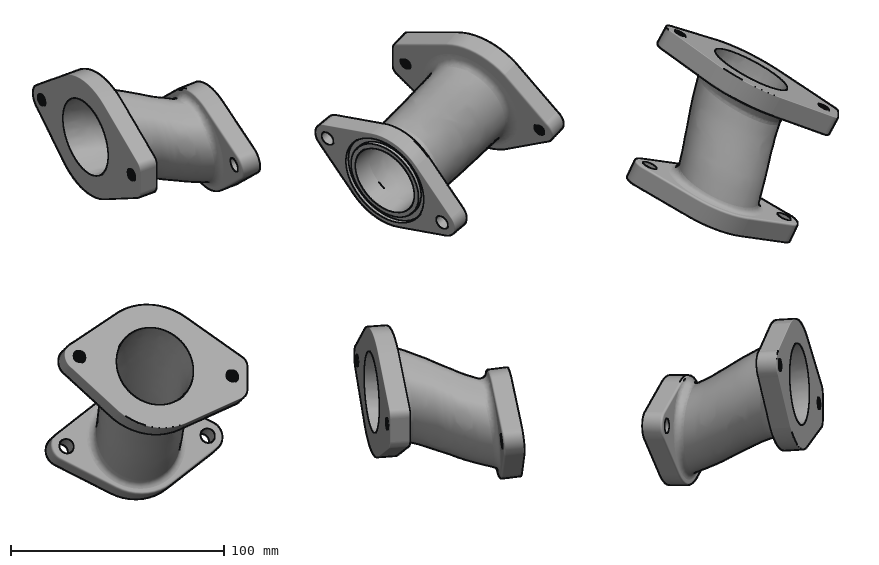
import cadquery as cq
import math

INLET_THICKNESS = 10.0
INLET_LENGTH = 91.4
INLET_BODY_RADIUS = 30.9
INLET_BORE_X = -0.6
INLET_BORE_DIAMETER = 38.5
INLET_HOLE_SPACING = 76.2
LUG_ARC_HALF_ANGLE = 60.0
LEFT_BODY_ANGLE = 35.0
RIGHT_BODY_ANGLE = 30.2
SQUARE_END_CORNER_RADIUS = 4.9

THREAD_MINOR_DIAMETER = 5.0
THREAD_MAJOR_DIAMETER = 6.1
THREAD_PITCH = 1.0
THREAD_ROOT_FLAT = 0.15
THREAD_MOUTH_WIDTH = 0.9
THREAD_OVERLAP = 0.1
THREAD_START_ANGLE = 175.0

OUTLET_THICKNESS = 10.0
OUTLET_BODY_RADIUS = 25.9
OUTLET_BORE_DIAMETER = 35.0
OUTLET_HOLE_SPACING = 69.9
OUTLET_HOLE_DIAMETER = 7.0
OUTLET_CENTRE = (11.2, 65.9, -15.4)
OUTLET_ROLL = 10.4
OUTLET_TILT_X = 3.3
OUTLET_TILT_Z = 4.6

WALL = 3.2
BEND_SECTIONS = 7
BEND_END_SLOPE = (0.2, 1.0, -0.18)

GROOVE_INNER_DIAMETER = 40.0
GROOVE_OUTER_DIAMETER = 46.3
GROOVE_DEPTH = 2.0

LUG_RADIUS = 7.5
INNER_EDGE_RADIUS = 1.0
OUTER_EDGE_RADIUS = 0.3
INLET_NECK_FILLET = 4.7
OUTLET_NECK_FILLET = 3.5

roll = math.radians(OUTLET_ROLL)
flow = cq.Vector(
    math.tan(math.radians(OUTLET_TILT_X)),
    1.0,
    math.tan(math.radians(OUTLET_TILT_Z)),
).normalized()
roll_axis = cq.Vector(math.cos(roll), 0, math.sin(roll))
long_axis = roll_axis - flow * roll_axis.dot(flow)
inlet_face = cq.Plane((0, 0, 0), (1, 0, 0), (0, 1, 0))
outlet_face = cq.Plane(OUTLET_CENTRE, long_axis, flow)
bend_start = cq.Vector(INLET_BORE_X, 0, 0)
bend_end = cq.Vector(*OUTLET_CENTRE) - flow * OUTLET_THICKNESS


def polar(centre_x, radius, degrees):
    """Point on a circle centred on the flange's long axis."""
    angle = math.radians(degrees)
    return (centre_x + radius * math.cos(angle), radius * math.sin(angle))


def inlet_flange():
    """Diamond plate with one round lug and one squared-off end."""
    lug_x = -INLET_HOLE_SPACING / 2
    end_x = INLET_LENGTH / 2
    lug_angle = 180 - LUG_ARC_HALF_ANGLE
    left_angle = 90 + LEFT_BODY_ANGLE
    right_angle = 90 - RIGHT_BODY_ANGLE
    right_x, right_z = polar(INLET_BORE_X, INLET_BODY_RADIUS, right_angle)
    corner_z = right_z - (end_x - right_x) * math.tan(math.radians(RIGHT_BODY_ANGLE))
    return (
        cq.Workplane(inlet_face)
        .moveTo(*polar(lug_x, LUG_RADIUS, lug_angle))
        .lineTo(*polar(INLET_BORE_X, INLET_BODY_RADIUS, left_angle))
        .threePointArc((INLET_BORE_X, INLET_BODY_RADIUS), (right_x, right_z))
        .lineTo(end_x, corner_z)
        .lineTo(end_x, -corner_z)
        .lineTo(right_x, -right_z)
        .threePointArc(
            (INLET_BORE_X, -INLET_BODY_RADIUS),
            polar(INLET_BORE_X, INLET_BODY_RADIUS, -left_angle),
        )
        .lineTo(*polar(lug_x, LUG_RADIUS, -lug_angle))
        .threePointArc((lug_x - LUG_RADIUS, 0), polar(lug_x, LUG_RADIUS, lug_angle))
        .close()
        .extrude(INLET_THICKNESS)
        .edges("|Y and >X")
        .fillet(SQUARE_END_CORNER_RADIUS)
        .faces(">Y")
        .edges()
        .fillet(INNER_EDGE_RADIUS)
        .faces("<Y")
        .edges()
        .fillet(OUTER_EDGE_RADIUS)
    )


def outlet_flange():
    """Diamond plate with two round lugs; straight sides are tangent to all arcs."""
    lug_x = OUTLET_HOLE_SPACING / 2
    tangent = math.degrees(math.acos((OUTLET_BODY_RADIUS - LUG_RADIUS) / lug_x))
    flange = (
        cq.Workplane(outlet_face)
        .moveTo(*polar(lug_x, LUG_RADIUS, tangent))
        .lineTo(*polar(0, OUTLET_BODY_RADIUS, tangent))
        .threePointArc((0, OUTLET_BODY_RADIUS), polar(0, OUTLET_BODY_RADIUS, 180 - tangent))
        .lineTo(*polar(-lug_x, LUG_RADIUS, 180 - tangent))
        .threePointArc((-lug_x - LUG_RADIUS, 0), polar(-lug_x, LUG_RADIUS, tangent - 180))
        .lineTo(*polar(0, OUTLET_BODY_RADIUS, tangent - 180))
        .threePointArc((0, -OUTLET_BODY_RADIUS), polar(0, OUTLET_BODY_RADIUS, -tangent))
        .lineTo(*polar(lug_x, LUG_RADIUS, -tangent))
        .threePointArc((lug_x + LUG_RADIUS, 0), polar(lug_x, LUG_RADIUS, tangent))
        .close()
        .extrude(-OUTLET_THICKNESS)
    )
    inner_edges = flange.faces(cq.selectors.DirectionMinMaxSelector(flow, False)).edges()
    flange = inner_edges.fillet(INNER_EDGE_RADIUS)
    outer_edges = flange.faces(cq.selectors.DirectionMinMaxSelector(flow, True)).edges()
    return outer_edges.fillet(OUTER_EDGE_RADIUS)


def bend_section(fraction, extra_radius):
    """Circle on the bent centreline, at a fraction of the way from inlet to outlet flange."""
    span = bend_end - bend_start
    ease = fraction**2 * (3 - 2 * fraction)
    end_pull = fraction**2 * (fraction - 1)
    start_pull = fraction * (fraction - 1) ** 2
    centre = (
        bend_start
        + span * ease
        + cq.Vector(*BEND_END_SLOPE) * (end_pull * span.y)
        + cq.Vector(0, start_pull * span.y, 0)
    )
    normal = inlet_face.zDir * (1 - fraction) + flow * fraction
    diameter = INLET_BORE_DIAMETER * (1 - fraction) + OUTLET_BORE_DIAMETER * fraction
    return cq.Wire.makeCircle(diameter / 2 + extra_radius, centre, normal)


def tapered_tube(extra_radius):
    """Round bent bar from the inlet face to the outlet face, straight inside the outlet flange."""
    sections = [bend_section(i / (BEND_SECTIONS - 1), extra_radius) for i in range(BEND_SECTIONS)]
    bend = cq.Workplane(cq.Solid.makeLoft(sections))
    outlet_end = (
        cq.Workplane(outlet_face)
        .circle(OUTLET_BORE_DIAMETER / 2 + extra_radius)
        .extrude(-OUTLET_THICKNESS)
    )
    return bend.union(outlet_end)


def threaded_holes():
    """Core bores with helical V grooves, running past both faces of the flange."""
    minor = THREAD_MINOR_DIAMETER / 2
    major = THREAD_MAJOR_DIAMETER / 2
    length = INLET_THICKNESS + 2 * THREAD_PITCH
    inside = minor - THREAD_OVERLAP
    half_mouth = THREAD_MOUTH_WIDTH / 2
    half_root = THREAD_ROOT_FLAT / 2
    groove = (
        cq.Workplane("XZ")
        .polyline([
            (inside, -half_mouth),
            (inside, half_mouth),
            (major, half_root),
            (major, -half_root),
        ])
        .close()
        .sweep(cq.Workplane(cq.Wire.makeHelix(THREAD_PITCH, length, minor)), isFrenet=True)
    )
    core = cq.Workplane("XY").circle(minor).extrude(length)
    cutter = core.union(groove).rotate((0, 0, 0), (0, 0, 1), THREAD_START_ANGLE)
    cutter = cutter.rotate((0, 0, 0), (1, 0, 0), -90).translate((0, -THREAD_PITCH, 0))
    half = INLET_HOLE_SPACING / 2
    return [cutter.translate((x, 0, 0)) for x in (-half, half)]


def seal_groove():
    """Ring-shaped groove around the outlet bore."""
    return (
        cq.Workplane(outlet_face)
        .circle(GROOVE_OUTER_DIAMETER / 2)
        .circle(GROOVE_INNER_DIAMETER / 2)
        .extrude(-GROOVE_DEPTH)
    )


def outlet_bolt_holes():
    """Plain through holes, one in each outlet lug."""
    half = OUTLET_HOLE_SPACING / 2
    return (
        cq.Workplane(outlet_face)
        .pushPoints([(-half, 0), (half, 0)])
        .circle(OUTLET_HOLE_DIAMETER / 2)
        .extrude(-OUTLET_THICKNESS)
    )


body = inlet_flange().union(outlet_flange()).union(tapered_tube(WALL))
inlet_neck = (INLET_BORE_X, INLET_THICKNESS, 0)
for neck, radius in (
    (inlet_neck, INLET_NECK_FILLET),
    (bend_end.toTuple(), OUTLET_NECK_FILLET),
):
    body = body.edges(cq.selectors.NearestToPointSelector(neck)).fillet(radius)

result = body.cut(tapered_tube(0)).cut(seal_groove()).cut(outlet_bolt_holes())
for hole in threaded_holes():
    result = result.cut(hole)